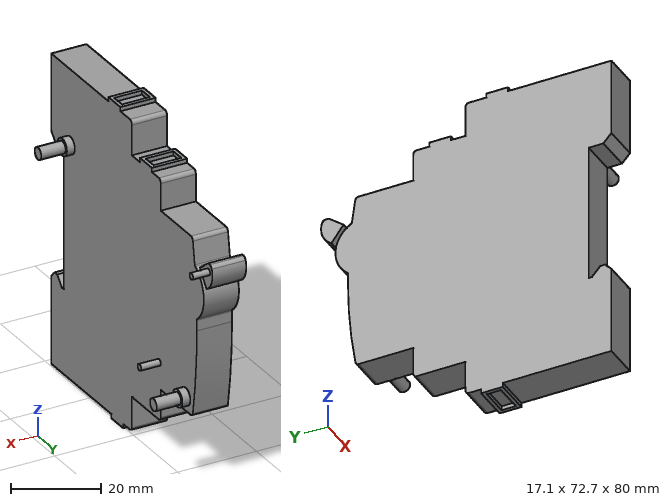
import cadquery as cq
import math


thickness = 9.0
rear_depth = 36.5
rear_half_height = 39.0
middle_depth = 49.5
middle_half_height = 30.3
front_half_height = 22.5
corner_radius = 1.0

front_top_depth = 63.9
front_lean_depth = 64.9
front_face_depth = 65.8
bow_radius = 128.0
nose_radius = 7.8
nose_center_y = 61.2
nose_center_z = 9.0
nose_blend_radius = 0.4

slot_depth = 5.7
slot_top = 17.4
upper_bevel_width = 2.0
upper_bevel_height = 2.2
slot_bottom = -17.6
slot_floor_width = 0.8
hook_top = -15.3
hook_inner_depth = 2.7
hook_outer_depth = 1.5
hook_bevel_end = -16.9

overall_half_height = 40.0
pad_height = overall_half_height - rear_half_height
pad_length = 5.4
pad_rim = 1.0
rear_top_pad_y = 28.6
middle_top_pad_y = 42.8
rear_bottom_pad_y = 29.8

lever_angle = 37.0
handle_center_x = 4.6
handle_width = 8.6
neck_width = 3.4
neck_half_height = 1.9
neck_root_half_height = 1.2
neck_root = nose_radius - 0.8
handle_base = 9.0
handle_top = 2.3
handle_bottom = -2.7
handle_belly = (12.6, -1.9)
handle_tip = (14.6, 0.8)
handle_tip_bend = (14.6, 1.4)
handle_bevel_start = (14.2, 1.9)
handle_bevel_end = 13.7

collar_radius = 2.2
collar_end = 11.0
shaft_radius = 1.5
shaft_end = 17.1
coupling_pins = [(8.6, 19.9), (60.7, -18.9)]
thin_pin_radius = 0.8
body_pin = (48.7, -15.9)
body_pin_end = 13.9
handle_pin = (70.9, 17.0)
handle_pin_end = 13.2


def side_plane(x=0.0):
    """Sketch plane with local axes Y and Z, extruding toward +X."""
    return cq.Workplane("YZ", origin=(x, 0, 0))


def housing_step(depth, half_height):
    """Block from the rear edge to the given depth with rounded front corners."""
    block = side_plane().rect(depth, 2 * half_height).extrude(thickness)
    return block.translate((0, depth / 2, 0)).edges("|X and >Y").fillet(corner_radius)


def nose_height_at(depth):
    """Half height of the nose circle at a depth along Y."""
    return math.sqrt(nose_radius**2 - (depth - nose_center_y) ** 2)


def bowed_depth(z):
    """Depth of the bowed face, which leaves the upright face tangentially at Z = 0."""
    return front_face_depth - bow_radius + math.sqrt(bow_radius**2 - z**2)


def front_block():
    bottom_depth = bowed_depth(-front_half_height)
    nose_upper_z = nose_center_z + nose_height_at(front_lean_depth)
    nose_lower_z = nose_center_z - nose_height_at(front_face_depth)
    block = (
        side_plane()
        .moveTo(0, -front_half_height)
        .lineTo(bottom_depth, -front_half_height)
        .threePointArc(
            (bowed_depth(-front_half_height / 2), -front_half_height / 2), (front_face_depth, 0)
        )
        .lineTo(front_face_depth, nose_lower_z)
        .threePointArc((nose_center_y + nose_radius, nose_center_z), (front_lean_depth, nose_upper_z))
        .lineTo(front_top_depth, front_half_height)
        .lineTo(0, front_half_height)
        .close()
        .extrude(thickness)
    )
    mid_x = thickness / 2
    for y, z, radius in [
        (bottom_depth, -front_half_height, corner_radius),
        (front_top_depth, front_half_height, corner_radius),
        (front_face_depth, nose_lower_z, nose_blend_radius),
        (front_lean_depth, nose_upper_z, nose_blend_radius),
    ]:
        corner = cq.selectors.NearestToPointSelector((mid_x, y, z))
        block = block.edges("|X").edges(corner).fillet(radius)
    return block


def rail_slot():
    return (
        side_plane()
        .polyline([
            (0, slot_top + upper_bevel_height),
            (upper_bevel_width, slot_top),
            (slot_depth, slot_top),
            (slot_depth, slot_bottom),
            (slot_depth - slot_floor_width, slot_bottom),
            (hook_inner_depth, hook_top),
            (hook_outer_depth, hook_top),
            (0, hook_bevel_end),
        ])
        .close()
        .extrude(thickness)
    )


def marker_pad(center_y, base_z, direction):
    """Framed pad standing on the face at base_z, facing up (1) or down (-1)."""
    return (
        cq.Workplane("XY", origin=(thickness / 2, center_y, base_z))
        .rect(thickness, pad_length)
        .rect(thickness - 2 * pad_rim, pad_length - 2 * pad_rim)
        .extrude(direction * pad_height)
    )


def lever():
    """Flared neck and rounded handle, tilted about the nose centre."""
    neck = (
        side_plane((thickness - neck_width) / 2)
        .polyline([
            (neck_root, -neck_root_half_height),
            (handle_base, -neck_half_height),
            (handle_base, neck_half_height),
            (neck_root, neck_root_half_height),
        ])
        .close()
        .extrude(neck_width)
    )
    handle = (
        side_plane(handle_center_x - handle_width / 2)
        .moveTo(handle_base, handle_bottom)
        .threePointArc(handle_belly, handle_tip)
        .threePointArc(handle_tip_bend, handle_bevel_start)
        .lineTo(handle_bevel_end, handle_top)
        .lineTo(handle_base, handle_top)
        .close()
        .extrude(handle_width)
    )
    tilted = neck.union(handle).rotate((0, 0, 0), (1, 0, 0), lever_angle)
    return tilted.translate((0, nose_center_y, nose_center_z))


def pin(position, radius, end_x):
    """Round pin along X, rooted at the middle of the thickness."""
    root_x = thickness / 2
    return side_plane(root_x).center(*position).circle(radius).extrude(end_x - root_x)


body = housing_step(rear_depth, rear_half_height)
body = body.union(housing_step(middle_depth, middle_half_height))
body = body.union(front_block())
body = body.cut(rail_slot())

body = body.union(marker_pad(rear_top_pad_y, rear_half_height, 1))
body = body.union(marker_pad(middle_top_pad_y, middle_half_height, 1))
body = body.union(marker_pad(rear_bottom_pad_y, -rear_half_height, -1))

body = body.union(lever())

for pin_position in coupling_pins:
    body = body.union(pin(pin_position, collar_radius, collar_end))
    body = body.union(pin(pin_position, shaft_radius, shaft_end))
body = body.union(pin(body_pin, thin_pin_radius, body_pin_end))
body = body.union(pin(handle_pin, thin_pin_radius, handle_pin_end))

result = body